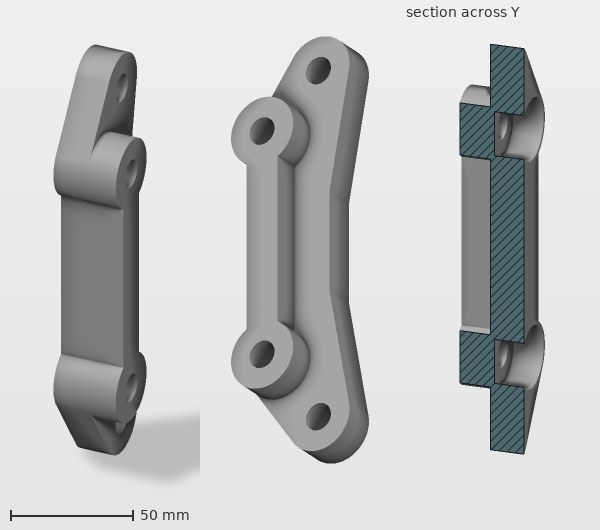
import cadquery as cq
import math

plate_thickness = 15.0
total_thickness = 28.1

overall_length = 185.0
ear_radius = 15.0
ear_y = 19.0
ear_z = overall_length / 2 - ear_radius
boss_radius = 15.0
boss_z = 50.0

hole_diameter = 12.0
counterbore_diameter = 27.0
counterbore_depth = 13.0

rib_width = 15.0
front_edge_y = -rib_width / 2
back_edge_y = 24.3
back_edge_half_length = 22.0

front_flat_inset = 0.035


def mirrored(point):
    """Reflect a (y, z) point to the lower half of the part."""
    y, z = point
    return y, -z


def cylinder(y, z, diameter, length):
    """Cylinder along +X standing on the back face."""
    return cq.Workplane("YZ").center(y, z).circle(diameter / 2).extrude(length)


def ear_back_point():
    """Point where the line from the back-edge corner touches the upper ear."""
    dy = back_edge_y - ear_y
    dz = back_edge_half_length - ear_z
    touch_angle = math.atan2(dz, dy) + math.acos(ear_radius / math.hypot(dy, dz))
    return (
        ear_y + ear_radius * math.cos(touch_angle),
        ear_z + ear_radius * math.sin(touch_angle),
    )


def front_flat_ends():
    """Ends of the upper slanted flat: on the ear, then on the boss of equal radius."""
    span = math.hypot(ear_y, ear_z - boss_z)
    along_y = ear_y / span
    along_z = (ear_z - boss_z) / span
    offset = boss_radius - front_flat_inset
    half_chord = math.sqrt(boss_radius**2 - offset**2)

    def flat_point(distance):
        return (
            distance * along_y - offset * along_z,
            boss_z + distance * along_z + offset * along_y,
        )

    return flat_point(span - half_chord), flat_point(half_chord)


def make_plate():
    """Bow-shaped plate with a rounded ear at each end."""
    back_corner = (back_edge_y, back_edge_half_length)
    ear_back = ear_back_point()
    ear_tip = (ear_y, ear_z + ear_radius)
    ear_front, boss_front = front_flat_ends()
    boss_side = (-boss_radius, boss_z)
    rib_corner = (front_edge_y, boss_z - math.sqrt(boss_radius**2 - front_edge_y**2))
    return (
        cq.Workplane("YZ")
        .moveTo(*mirrored(back_corner))
        .lineTo(*back_corner)
        .lineTo(*ear_back)
        .threePointArc(ear_tip, ear_front)
        .lineTo(*boss_front)
        .threePointArc(boss_side, rib_corner)
        .lineTo(*mirrored(rib_corner))
        .threePointArc(mirrored(boss_side), mirrored(boss_front))
        .lineTo(*mirrored(ear_front))
        .threePointArc(mirrored(ear_tip), mirrored(ear_back))
        .close()
        .extrude(plate_thickness)
    )


def make_rib():
    """Full-thickness bar joining the two bosses."""
    return cq.Workplane("YZ").rect(rib_width, 2 * boss_z).extrude(total_thickness)


def add_bosses(body):
    for side in (1, -1):
        body = body.union(cylinder(0, side * boss_z, 2 * boss_radius, total_thickness))
    return body


def cut_ear_holes(body):
    for side in (1, -1):
        body = body.cut(cylinder(ear_y, side * ear_z, hole_diameter, plate_thickness))
    return body


def cut_boss_holes(body):
    """Counterbored through holes in the bosses."""
    for side in (1, -1):
        body = body.cut(cylinder(0, side * boss_z, hole_diameter, total_thickness))
        body = body.cut(cylinder(0, side * boss_z, counterbore_diameter, counterbore_depth))
    return body


body = add_bosses(make_plate().union(make_rib()))
result = cut_boss_holes(cut_ear_holes(body))